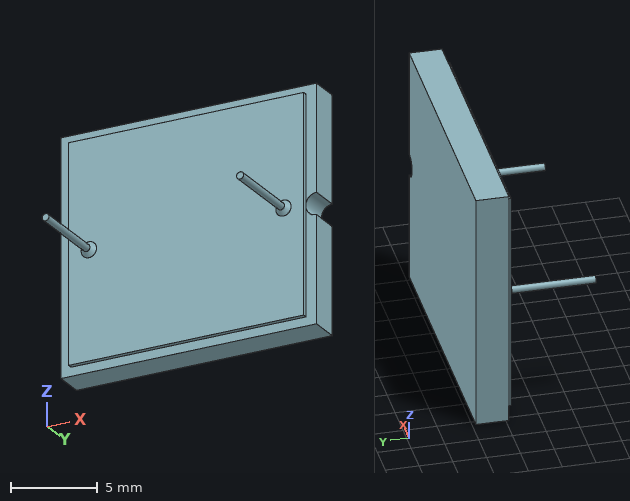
import cadquery as cq

BLOCK_WIDTH = 16.7
BLOCK_HEIGHT = 15.15
BLOCK_DEPTH = 1.95
NOTCH_RADIUS = 0.7

PANEL_WIDTH = 15.35
PANEL_HEIGHT = 14.0
PANEL_DEPTH = 0.3

PIN_SPACING = 12.7
PIN_RADIUS = 0.23
FOOT_RADIUS = 0.5
FOOT_HEIGHT = 0.3
OVERALL_DEPTH = 7.55
PIN_LENGTH = OVERALL_DEPTH - BLOCK_DEPTH - PANEL_DEPTH


def make_block():
    """Notched block, with its -Y face on the back of the panel."""
    back_of_panel = cq.Workplane("XZ", origin=(0, PANEL_DEPTH, 0))
    block = back_of_panel.rect(BLOCK_WIDTH, BLOCK_HEIGHT).extrude(-BLOCK_DEPTH)
    notch = back_of_panel.center(BLOCK_WIDTH / 2, 0).circle(NOTCH_RADIUS).extrude(-BLOCK_DEPTH)
    return block.cut(notch)


def make_panel():
    """Thin plate with its outer face at Y = 0."""
    return cq.Workplane("XZ").rect(PANEL_WIDTH, PANEL_HEIGHT).extrude(-PANEL_DEPTH)


def make_pin(x):
    """Pin and its conical foot, revolved about an axis along Y; stands on the panel toward -Y."""
    half_profile = (
        cq.Workplane("YZ", origin=(x, 0, 0))
        .lineTo(0, FOOT_RADIUS)
        .lineTo(-FOOT_HEIGHT, PIN_RADIUS)
        .lineTo(-PIN_LENGTH, PIN_RADIUS)
        .lineTo(-PIN_LENGTH, 0)
        .close()
    )
    return half_profile.revolve(360, (0, 0, 0), (1, 0, 0))


block = make_block()
panel = make_panel()
pins = [make_pin(side * PIN_SPACING / 2) for side in (-1, 1)]

result = cq.Compound.makeCompound([body.val() for body in [block, panel, *pins]])